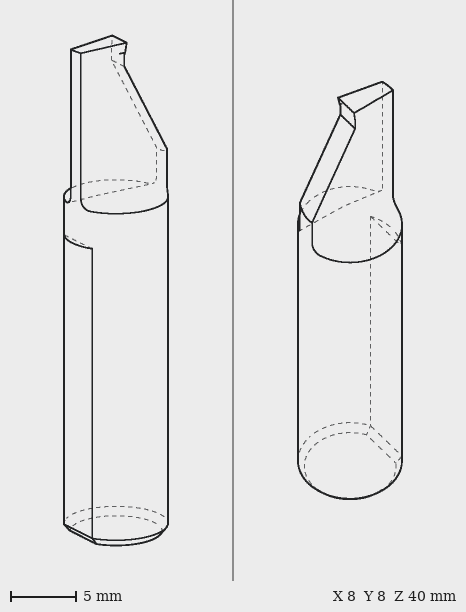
import cadquery as cq

length = 40.0
shank_radius = 4.0
shoulder_height = 27.1
end_chamfer_height = 0.6
end_chamfer_inset = 0.5
flat_half_width = 2.0
flat_top = 24.1
flat_y = -(shank_radius**2 - flat_half_width**2) ** 0.5

left_edge_x = -0.5
left_front_x = -0.2
right_edge_x = 1.5
right_front_x = 1.0
left_body_x = -0.45
right_body_x = 1.45
root_fillet = 0.8

front_drop = 0.3
left_flare_height = 39.05
right_step_height = 39.2
throat_y = -0.15
throat_top = 39.05
throat_bottom = 38.1
slope_bottom = 30.15

reach = 1.5 * shank_radius


def taper_x(edge_x, front_x, y):
    """X of a tapered blade side at the given Y."""
    return edge_x + (edge_x - front_x) * y / shank_radius


def taper_meets_body(edge_x, front_x, body_x):
    """Y where a tapered blade side reaches its parallel stem face."""
    return shank_radius * (body_x - edge_x) / (edge_x - front_x)


def make_root():
    """Shoulder stock and blade stem, joined by root fillets."""
    left_break_y = taper_meets_body(left_edge_x, left_front_x, left_body_x)
    right_break_y = taper_meets_body(right_edge_x, right_front_x, right_body_x)
    stem = (
        cq.Workplane("XY", origin=(0, 0, shoulder_height))
        .moveTo(taper_x(left_edge_x, left_front_x, -reach), -reach)
        .lineTo(taper_x(right_edge_x, right_front_x, -reach), -reach)
        .lineTo(right_body_x, right_break_y)
        .lineTo(right_body_x, reach)
        .lineTo(left_body_x, reach)
        .lineTo(left_body_x, left_break_y)
        .close()
        .extrude(length - shoulder_height)
    )
    stock = cq.Workplane("XY").box(2 * reach, 2 * reach, shoulder_height, centered=(True, True, False))
    margin = 0.05
    root_edges = cq.selectors.BoxSelector(
        (left_edge_x - margin, -reach + margin, shoulder_height - margin),
        (right_edge_x + margin, reach - margin, shoulder_height + margin),
    )
    return stock.union(stem).edges(root_edges).fillet(root_fillet)


def make_head():
    """Tapered cutting head, flared on the left and stepped on the right."""
    taper = (
        cq.Workplane("XY")
        .moveTo(taper_x(left_edge_x, left_front_x, -reach), -reach)
        .lineTo(taper_x(right_edge_x, right_front_x, -reach), -reach)
        .lineTo(right_edge_x, 0)
        .lineTo(left_edge_x, 0)
        .close()
        .extrude(length)
    )
    flare = (
        cq.Workplane("XZ")
        .moveTo(left_body_x, left_flare_height)
        .lineTo(left_edge_x, length)
        .lineTo(right_edge_x, length)
        .lineTo(right_edge_x, right_step_height)
        .lineTo(right_body_x, right_step_height)
        .lineTo(right_body_x, left_flare_height)
        .close()
        .extrude(reach, both=True)
    )
    return taper.intersect(flare)


def make_side_outline():
    """YZ outline of the part: trims the blade, cuts the flat and chamfers the end of the flat."""
    return (
        cq.Workplane("YZ")
        .moveTo(flat_y, end_chamfer_height)
        .lineTo(flat_y + end_chamfer_inset, 0)
        .lineTo(shank_radius, 0)
        .lineTo(shank_radius, slope_bottom)
        .lineTo(throat_y, throat_bottom)
        .lineTo(throat_y, throat_top)
        .lineTo(0, length)
        .lineTo(-shank_radius, length - front_drop)
        .lineTo(-shank_radius, flat_top)
        .lineTo(flat_y, flat_top)
        .close()
        .extrude(reach, both=True)
    )


def make_envelope():
    """Full-height cylinder with the chamfered lower end."""
    return (
        cq.Workplane("XZ")
        .lineTo(shank_radius - end_chamfer_inset, 0)
        .lineTo(shank_radius, end_chamfer_height)
        .lineTo(shank_radius, length)
        .lineTo(0, length)
        .close()
        .revolve(360, (0, 0, 0), (0, 1, 0))
    )


result = make_root().union(make_head()).intersect(make_envelope()).intersect(make_side_outline())